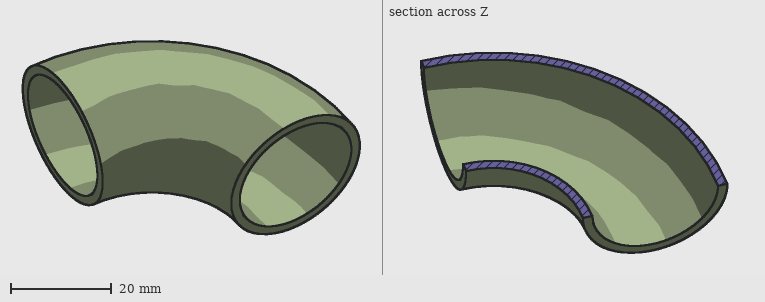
import cadquery as cq

outer_reach = 48.5
outer_diameter = 30.0
wall = 2.0
bend_angle = 90.0

outer_radius = outer_diameter / 2
bore_radius = outer_radius - wall
bend_radius = outer_reach - outer_radius


def tube_end_face():
    """Annular cross-section in the XZ plane, to the -X side of the bend axis."""
    return (
        cq.Workplane("XZ")
        .center(-bend_radius, 0)
        .circle(outer_radius)
        .circle(bore_radius)
    )


axis_start = (bend_radius, 0)
axis_end = (bend_radius, -1)
result = tube_end_face().revolve(bend_angle, axis_start, axis_end)